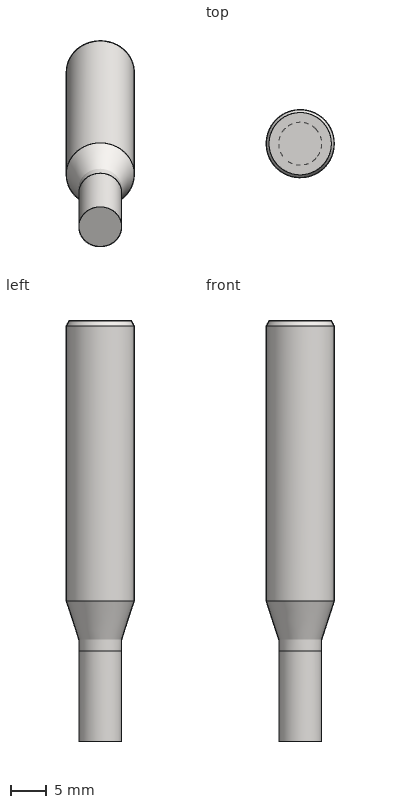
import cadquery as cq

total_length = 58.7
shank_diameter = 9.5
neck_diameter = 6.0
tip_length = 12.6
collar_length = 1.6
taper_length = 5.4
chamfer_height = 0.75
chamfer_width = 0.4

shank_radius = shank_diameter / 2
neck_radius = neck_diameter / 2
taper_bottom = tip_length + collar_length
taper_top = taper_bottom + taper_length
chamfer_bottom = total_length - chamfer_height


def make_tip():
    """Plain cylinder that butts against the lower end of the shank."""
    return cq.Workplane("XY").circle(neck_radius).extrude(tip_length)


def make_shank():
    """Round shank with a chamfered top, tapering to a collar as wide as the tip."""
    half_profile = (
        cq.Workplane("XZ")
        .moveTo(0, tip_length)
        .lineTo(neck_radius, tip_length)
        .lineTo(neck_radius, taper_bottom)
        .lineTo(shank_radius, taper_top)
        .lineTo(shank_radius, chamfer_bottom)
        .lineTo(shank_radius - chamfer_width, total_length)
        .lineTo(0, total_length)
        .close()
    )
    return half_profile.revolve(360, (0, 0, 0), (0, 1, 0))


tip = make_tip()
shank = make_shank()

result = cq.Compound.makeCompound([shank.val(), tip.val()])